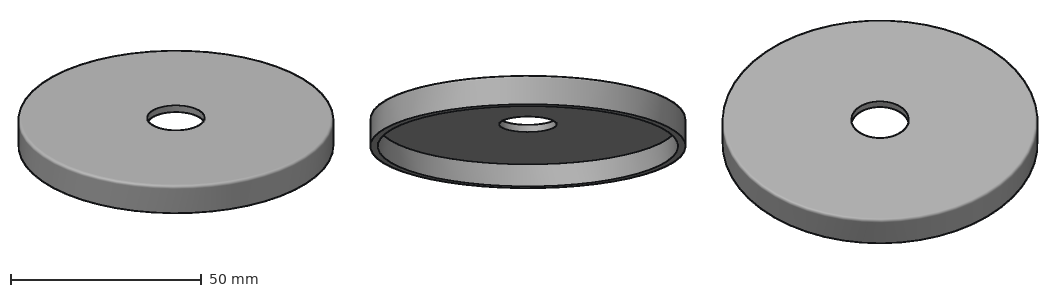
import cadquery as cq

outer_diameter = 82.55
height = 7.9
wall = 2.0
hole_diameter = 15.0
edge_radius = 0.8

disc = cq.Workplane("XY").circle(outer_diameter / 2).extrude(height)
disc = disc.faces(">Z").edges().fillet(edge_radius)

recess_diameter = outer_diameter - 2 * wall
recess = cq.Workplane("XY").circle(recess_diameter / 2).extrude(height - wall)

hole = cq.Workplane("XY").circle(hole_diameter / 2).extrude(height)

result = disc.cut(recess).cut(hole)